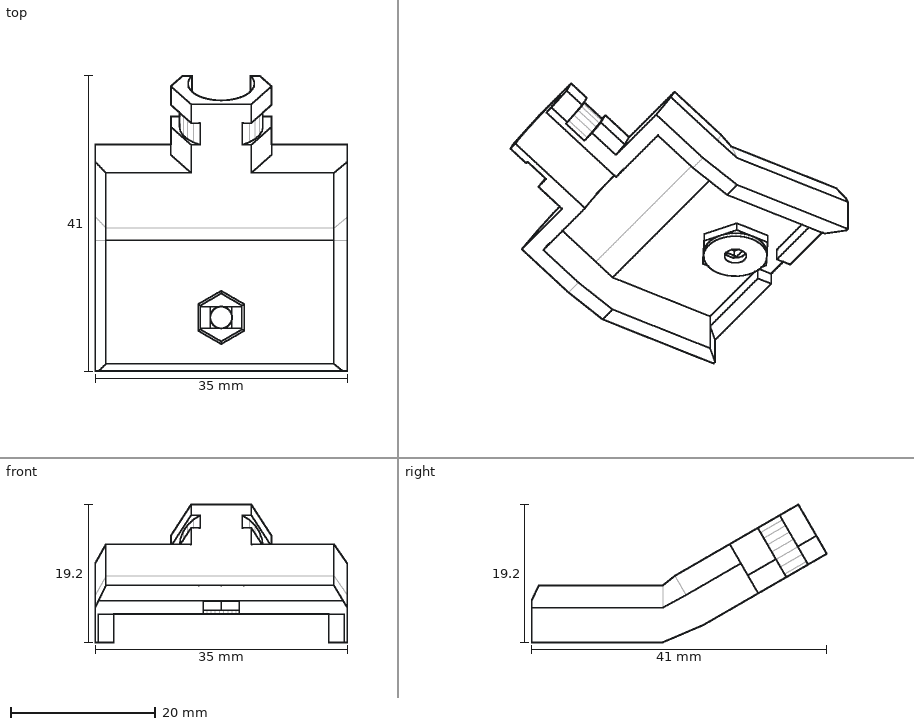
import cadquery as cq
import math

TOTAL_WIDTH = 35.0
TOTAL_LENGTH = 41.0
TOTAL_HEIGHT = 19.17

THICKNESS = 7.92
WALL = 2.2
FLAT_LENGTH = 18.2
LEFT_CHAMFER_WIDTH = 1.5
RIGHT_CHAMFER_WIDTH = 1.85
SIDE_CHAMFER_HEIGHT = 3.1
FRONT_CHAMFER_LENGTH = 1.0
FRONT_CHAMFER_HEIGHT = 2.1

TILT = 30.0
ARM_BODY_LENGTH = 8.8
COLLAR_LENGTH = 4.5
NECK_LENGTH = 3.5
HEAD_LENGTH = 3.0
ARM_LENGTH = ARM_BODY_LENGTH + COLLAR_LENGTH + NECK_LENGTH + HEAD_LENGTH
SIN_TILT = math.sin(math.radians(TILT))
COS_TILT = math.cos(math.radians(TILT))
ARM_START_Y = TOTAL_LENGTH - ARM_LENGTH * COS_TILT
ARM_START_Z = TOTAL_HEIGHT - ARM_LENGTH * SIN_TILT - THICKNESS * COS_TILT

OUTLET_WIDTH = 14.0
OUTLET_TOP_WIDTH = 8.36
OUTLET_AXIS_HEIGHT = 2.9
HEAD_BOTTOM_WIDTH = 10.7
NECK_FACETS = 30
NECK_TOP_ANGLE = 60.0
BORE_RADIUS = 4.6
BORE_AXIS_HEIGHT = 2.2

LIP_BOTTOM = 3.95
OPENING_EDGE = 0.4
NOTCH_WIDTH = 4.95

SCREW_Y = 7.45
SCREW_DIAMETER = 3.0
NUT_ACROSS_FLATS = 5.76
NUT_DEPTH = 2.0
NUT_CHAMFER_WIDTH = 0.32
NUT_CHAMFER_DEPTH = 0.27
STEP_DEPTH = 0.5
BOSS_ACROSS_FLATS = 8.8
BOSS_HEX_BOTTOM = 4.5
BOSS_BOTTOM = LIP_BOTTOM
BOSS_RADIUS = 4.4
BOSS_FACETS = 46

CAVITY_TOP = THICKNESS - WALL
CAVITY_WIDTH = TOTAL_WIDTH - 2 * (OPENING_EDGE + WALL)
CLEARANCE = 1.0


def in_arm(u, height):
    """The (y, z) position of a point `u` along the arm and `height` above its underside."""
    y = ARM_START_Y + u * COS_TILT - height * SIN_TILT
    z = ARM_START_Z + u * SIN_TILT + height * COS_TILT
    return y, z


def place_arm(shape):
    """Move a shape from arm coordinates (x, along, height) to its tilted position."""
    tilted = shape.rotate((0, 0, 0), (1, 0, 0), TILT)
    return tilted.translate((0, ARM_START_Y, ARM_START_Z))


def arm_prism(outline, start, length):
    """Extrude an (x, height) outline along the arm from `start`."""
    plane = cq.Plane(origin=(0, start, 0), xDir=(1, 0, 0), normal=(0, -1, 0))
    return cq.Workplane(plane).polyline(outline).close().extrude(-length)


def mirrored(right_half):
    """Complete an outline, given bottom to top on the +X side, with its mirror image."""
    return right_half + [(-x, h) for x, h in reversed(right_half)]


def plate_outline():
    """Cross-section of the plate and arm body: a rectangle with sloping upper sides."""
    half = TOTAL_WIDTH / 2
    shoulder = THICKNESS - SIDE_CHAMFER_HEIGHT
    return [
        (half, 0),
        (half, shoulder),
        (half - RIGHT_CHAMFER_WIDTH, THICKNESS),
        (-half + LEFT_CHAMFER_WIDTH, THICKNESS),
        (-half, shoulder),
        (-half, 0),
    ]


def hexagon(across_flats):
    """Hexagon with corners in line with the Y axis."""
    corner = across_flats / math.sqrt(3)
    angles = [(i + 0.5) * math.pi / 3 for i in range(6)]
    return [(corner * math.cos(a), corner * math.sin(a)) for a in angles]


def section_wire(to_yz):
    """Plate cross-section in space, with `to_yz` giving the (y, z) position of each height."""
    points = [cq.Vector(x, *to_yz(h)) for x, h in plate_outline()]
    return cq.Wire.makePolygon(points, close=True)


def plate():
    """Flat plate with its upper front edge chamfered."""
    flat = arm_prism(plate_outline(), 0, FLAT_LENGTH)
    chamfer_slope = FRONT_CHAMFER_HEIGHT / FRONT_CHAMFER_LENGTH
    overrun_drop = (FRONT_CHAMFER_LENGTH + CLEARANCE) * chamfer_slope
    corner = (
        cq.Workplane("YZ")
        .moveTo(FRONT_CHAMFER_LENGTH, THICKNESS)
        .lineTo(-CLEARANCE, THICKNESS - overrun_drop)
        .lineTo(-CLEARANCE, THICKNESS)
        .close()
        .extrude(TOTAL_WIDTH, both=True)
    )
    return flat.cut(corner)


def bend():
    """Ruled transition from the end of the flat plate to the start of the arm."""
    flat_end = section_wire(lambda h: (FLAT_LENGTH, h))
    arm_start = section_wire(lambda h: in_arm(0, h))
    return cq.Workplane(cq.Solid.makeLoft([flat_end, arm_start], True))


def outlet_outline(bottom_width):
    """Collar or head section: widest at the outlet axis, with straight sides above and below."""
    return mirrored([
        (bottom_width / 2, 0),
        (OUTLET_WIDTH / 2, OUTLET_AXIS_HEIGHT),
        (OUTLET_TOP_WIDTH / 2, THICKNESS),
    ])


def neck(start):
    """Faceted round neck, cut flat at the top and bottom faces of the arm.

    The corners of the ring at NECK_TOP_ANGLE above the horizontal lie in the arm's top face.
    """
    radius = (THICKNESS - OUTLET_AXIS_HEIGHT) / math.sin(math.radians(NECK_TOP_ANGLE))
    angles = [2 * math.pi * i / NECK_FACETS for i in range(NECK_FACETS)]
    ring = [(radius * math.cos(a), OUTLET_AXIS_HEIGHT + radius * math.sin(a)) for a in angles]
    limit = [(radius, 0), (radius, THICKNESS), (-radius, THICKNESS), (-radius, 0)]
    return arm_prism(ring, start, NECK_LENGTH).intersect(arm_prism(limit, start, NECK_LENGTH))


def arm():
    """Tilted arm: body, collar, neck and head in a row."""
    collar_start = ARM_BODY_LENGTH
    neck_start = collar_start + COLLAR_LENGTH
    head_start = neck_start + NECK_LENGTH
    shape = arm_prism(plate_outline(), 0, ARM_BODY_LENGTH)
    shape = shape.union(arm_prism(outlet_outline(OUTLET_WIDTH), collar_start, COLLAR_LENGTH))
    shape = shape.union(neck(neck_start))
    shape = shape.union(arm_prism(outlet_outline(HEAD_BOTTOM_WIDTH), head_start, HEAD_LENGTH))
    return place_arm(shape)


def cavity():
    """Hollow underside that follows the bend and stops one wall short of each end."""
    inner_end = ARM_BODY_LENGTH - WALL
    outline = [
        (WALL, -CLEARANCE),
        (WALL, CAVITY_TOP),
        (FLAT_LENGTH, CAVITY_TOP),
        in_arm(0, CAVITY_TOP),
        in_arm(inner_end, CAVITY_TOP),
        in_arm(inner_end, -CLEARANCE),
        in_arm(0, -CLEARANCE),
        (FLAT_LENGTH, -CLEARANCE),
    ]
    return cq.Workplane("YZ").polyline(outline).close().extrude(CAVITY_WIDTH / 2, both=True)


def front_opening():
    """Opening below the front lip, flared at 45 degrees through the side walls, with a notch above."""
    front_half = TOTAL_WIDTH / 2 - OPENING_EDGE
    inner_half = front_half - WALL
    outline = [(front_half, 0), (inner_half, WALL), (-inner_half, WALL), (-front_half, 0)]
    opening = cq.Workplane("XY").polyline(outline).close().extrude(LIP_BOTTOM)
    notch = cq.Workplane("XY").box(NOTCH_WIDTH, WALL, CAVITY_TOP, centered=(True, False, False))
    return opening.union(notch)


def bore():
    """Cable bore from the cavity to the end of the head, open along the arm's underside."""
    start = ARM_BODY_LENGTH - WALL
    plane = cq.Plane(origin=(0, start, BORE_AXIS_HEIGHT), xDir=(1, 0, 0), normal=(0, 1, 0))
    return place_arm(cq.Workplane(plane).circle(BORE_RADIUS).extrude(ARM_LENGTH - start))


def at_screw(height):
    """Horizontal workplane centred on the screw axis."""
    return cq.Workplane("XY", origin=(0, SCREW_Y, height))


def screw_boss():
    """Boss under the plate: a hexagonal upper part on a faceted round lower part."""
    upper = at_screw(BOSS_HEX_BOTTOM).polyline(hexagon(BOSS_ACROSS_FLATS)).close()
    upper = upper.extrude(CAVITY_TOP - BOSS_HEX_BOTTOM)
    lower = at_screw(BOSS_BOTTOM).polygon(BOSS_FACETS, 2 * BOSS_RADIUS)
    return upper.union(lower.extrude(BOSS_HEX_BOTTOM - BOSS_BOTTOM))


def screw_hole():
    """Nut pocket that narrows to a slot, then a square, then the round screw hole."""
    floor = THICKNESS - NUT_DEPTH
    square_top = floor - STEP_DEPTH
    square_bottom = square_top - STEP_DEPTH
    pocket = at_screw(floor).polyline(hexagon(NUT_ACROSS_FLATS)).close().extrude(NUT_DEPTH)
    mouth = (
        at_screw(THICKNESS - NUT_CHAMFER_DEPTH)
        .polyline(hexagon(NUT_ACROSS_FLATS)).close()
        .workplane(offset=NUT_CHAMFER_DEPTH)
        .polyline(hexagon(NUT_ACROSS_FLATS + 2 * NUT_CHAMFER_WIDTH)).close()
        .loft(ruled=True)
    )
    slot = at_screw(square_top).rect(NUT_ACROSS_FLATS, SCREW_DIAMETER).extrude(STEP_DEPTH)
    square = at_screw(square_bottom).rect(SCREW_DIAMETER, SCREW_DIAMETER).extrude(STEP_DEPTH)
    hole = at_screw(0).circle(SCREW_DIAMETER / 2).extrude(THICKNESS)
    return pocket.union(mouth).union(slot).union(square).union(hole)


result = plate().union(bend()).union(arm())
result = result.cut(cavity()).cut(front_opening()).cut(bore())
result = result.union(screw_boss()).cut(screw_hole())